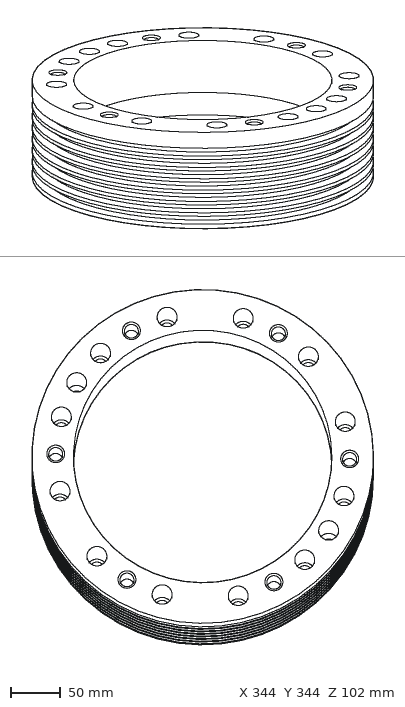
import cadquery as cq
import math

height = 102.0
outer_diameter = 344.0
bore_diameter = 260.0

relief_diameter = 280.0
relief_height = 20.0
cone_top_height = 47.0

groove_count = 7
groove_pitch = 12.0
top_groove_middle = 81.0
groove_width = 6.0
groove_depth = 10.0
flare_width = 7.8
flare_depth = 5.0
rim_width = 8.3
rim_flare_depth = 2.0

bolt_circle_radius = 148.0
drill_tip_angle = 118.0

clearance_count = 12
clearance_start_angle = 15.0
clearance_diameter = 14.0
counterbore_diameter = 20.0
counterbore_depth = 60.0

tapped_count = 6
tapped_start_angle = 30.0
tapped_diameter = 14.0
tapped_mouth_diameter = 18.0
tapped_depth = 30.0

dowel_count = 2
dowel_start_angle = 0.0
dowel_diameter = 20.0
dowel_depth = 60.0
dowel_through_diameter = 10.0

outer_radius = outer_diameter / 2
bore_radius = bore_diameter / 2
relief_radius = relief_diameter / 2


def revolved(points):
    """Solid of revolution about Z from (radius, height) points."""
    return cq.Workplane("XZ").polyline(points).close().revolve(360, (0, 0, 0), (0, 1, 0))


def ring_body():
    """Grooved ring with a bore that widens towards its lower end."""
    points = [
        (relief_radius, 0),
        (relief_radius, relief_height),
        (bore_radius, cone_top_height),
        (bore_radius, height),
        (outer_radius, height),
    ]
    upper_side = [
        (outer_radius, rim_width / 2),
        (outer_radius - rim_flare_depth, flare_width / 2),
        (outer_radius - flare_depth, groove_width / 2),
        (outer_radius - groove_depth, groove_width / 2),
    ]
    for i in range(groove_count):
        middle = top_groove_middle - i * groove_pitch
        points += [(radius, middle + half_width) for radius, half_width in upper_side]
        points += [(radius, middle - half_width) for radius, half_width in reversed(upper_side)]
    points.append((outer_radius, 0))
    return revolved(points)


def place_on_bolt_circle(cutter, count, start_angle):
    """Evenly spaced copies of a cutter made on the Z axis, moved to the bolt circle."""
    shape = cutter.val()
    return (
        cq.Workplane("XY")
        .polarArray(bolt_circle_radius, start_angle, 360, count, rotate=False)
        .eachpoint(lambda location: shape.moved(location), combine=False)
    )


def tip_length(large_radius, small_radius=0.0):
    """Height of a drill-point cone between two radii."""
    return (large_radius - small_radius) / math.tan(math.radians(drill_tip_angle / 2))


def clearance_cutter():
    """Through hole with a deep counterbore from the top."""
    drill_radius = clearance_diameter / 2
    counterbore_radius = counterbore_diameter / 2
    seat = height - counterbore_depth
    return revolved([
        (0, 0),
        (drill_radius, 0),
        (drill_radius, seat),
        (counterbore_radius, seat),
        (counterbore_radius, height),
        (0, height),
    ])


def tapped_cutter():
    """Blind hole with a chamfered mouth and a drill-point bottom."""
    drill_radius = tapped_diameter / 2
    mouth_radius = tapped_mouth_diameter / 2
    chamfer_depth = mouth_radius - drill_radius
    bottom = height - tapped_depth
    return revolved([
        (0, bottom - tip_length(drill_radius)),
        (drill_radius, bottom),
        (drill_radius, height - chamfer_depth),
        (mouth_radius, height),
        (0, height),
    ])


def dowel_cutter():
    """Deep hole whose drill-point bottom runs into a smaller through hole."""
    large_radius = dowel_diameter / 2
    small_radius = dowel_through_diameter / 2
    bottom = height - dowel_depth
    return revolved([
        (0, 0),
        (small_radius, 0),
        (small_radius, bottom - tip_length(large_radius, small_radius)),
        (large_radius, bottom),
        (large_radius, height),
        (0, height),
    ])


result = (
    ring_body()
    .cut(place_on_bolt_circle(clearance_cutter(), clearance_count, clearance_start_angle))
    .cut(place_on_bolt_circle(tapped_cutter(), tapped_count, tapped_start_angle))
    .cut(place_on_bolt_circle(dowel_cutter(), dowel_count, dowel_start_angle))
)